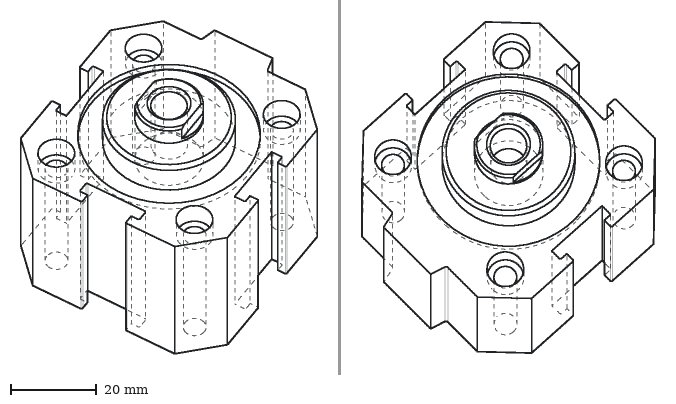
import cadquery as cq
import math

BODY_WIDTH = 57.0
HALF_WIDTH = BODY_WIDTH / 2
BODY_HEIGHT = 38.5
CORNER_CHAMFER = 8.9

RAIL_HEIGHT = 4.0
RAIL_TOP_WIDTH = 16.0
RAIL_TAPER = 15
RAIL_ROOT_RADIUS = 0.55

SLOT_MOUTH_WIDTH = 12.0
SLOT_CORNER_RADIUS = 0.35
SLOT_LIP_RADIUS = 0.3
FRONT_SLOT_WIDTH = 16.4
FRONT_SLOT_LIP = 2.5
FRONT_SLOT_DEPTH = 5.5
SIDE_SLOT_WIDTH = 16.15
SIDE_SLOT_LIP = 2.4
SIDE_SLOT_DEPTH = 5.3

MOUNT_SPACING = 38.05
MOUNT_HOLE_DIAMETER = 5.3
MOUNT_BORE_DIAMETER = 8.55
MOUNT_BORE_DEPTH = 5.6

RECESS_DIAMETER = 42.5
RECESS_DEPTH = 2.0
COLLAR_DIAMETER = 31.0
COLLAR_RISE = 6.0
COLLAR_CHAMFER = 1.0

ROD_DIAMETER = 16.0
ROD_RISE = 5.0
ROD_CHAMFER = 0.6
FLAT_WIDTH = 13.0
FLAT_START = 1.0
ROD_HOLE_DIAMETER = 8.5
ROD_HOLE_DEPTH = 15.0
ROD_HOLE_CHAMFER = 0.85
ROD_END_WALL = 5.0

RAIL_HALF_TOP = RAIL_TOP_WIDTH / 2
RAIL_HALF_BASE = RAIL_HALF_TOP + RAIL_HEIGHT * math.tan(math.radians(RAIL_TAPER))
RECESS_FLOOR = BODY_HEIGHT - RECESS_DEPTH
COLLAR_TOP = BODY_HEIGHT + COLLAR_RISE
ROD_TOP = COLLAR_TOP + ROD_RISE
ROD_BOTTOM = ROD_TOP - ROD_HOLE_DEPTH - ROD_END_WALL


def cylinder(diameter, bottom, top):
    """Upright cylinder on the bore axis."""
    return cq.Workplane("XY").workplane(offset=bottom).circle(diameter / 2).extrude(top - bottom)


def t_slot(width, lip, depth, rounded_edges):
    """Cutter for a T-slot in the -Y side; the selected edges of its wide part are rounded."""
    mouth = cq.Workplane("XY").box(SLOT_MOUTH_WIDTH, depth, BODY_HEIGHT, centered=(True, False, False))
    wide = cq.Workplane("XY").box(width, depth - lip, BODY_HEIGHT, centered=(True, False, False))
    wide = wide.edges(rounded_edges).fillet(SLOT_CORNER_RADIUS).translate((0, lip, 0))
    return mouth.union(wide).translate((0, -HALF_WIDTH, 0))


def rail():
    """Tapered rail on the +Y side, reaching inward to the bore axis."""
    crest = HALF_WIDTH + RAIL_HEIGHT
    return (
        cq.Workplane("XY")
        .polyline([
            (-RAIL_HALF_BASE, 0),
            (-RAIL_HALF_BASE, HALF_WIDTH),
            (-RAIL_HALF_TOP, crest),
            (RAIL_HALF_TOP, crest),
            (RAIL_HALF_BASE, HALF_WIDTH),
            (RAIL_HALF_BASE, 0),
        ])
        .close()
        .extrude(BODY_HEIGHT)
    )


def make_housing():
    """Slotted housing with its recess, collar, rod socket and mounting holes."""
    body = cq.Workplane("XY").box(BODY_WIDTH, BODY_WIDTH, BODY_HEIGHT, centered=(True, True, False))
    body = body.edges("|Z").chamfer(CORNER_CHAMFER).union(rail())

    middle = BODY_HEIGHT / 2
    for side in (-1, 1):
        root = cq.selectors.NearestToPointSelector((side * RAIL_HALF_BASE, HALF_WIDTH, middle))
        body = body.edges("|Z").edges(root).fillet(RAIL_ROOT_RADIUS)

    body = body.cut(t_slot(FRONT_SLOT_WIDTH, FRONT_SLOT_LIP, FRONT_SLOT_DEPTH, "|Z"))
    side_slot = t_slot(SIDE_SLOT_WIDTH, SIDE_SLOT_LIP, SIDE_SLOT_DEPTH, "|Z and <Y")
    for angle in (-90, 90):
        body = body.cut(side_slot.rotate((0, 0, 0), (0, 0, 1), angle))

    half_mouth = SLOT_MOUTH_WIDTH / 2
    lip_corners = [(x, -HALF_WIDTH) for x in (-half_mouth, half_mouth)]
    lip_corners += [(x, y) for x in (-HALF_WIDTH, HALF_WIDTH) for y in (-half_mouth, half_mouth)]
    for x, y in lip_corners:
        corner = cq.selectors.NearestToPointSelector((x, y, middle))
        body = body.edges("|Z").edges(corner).fillet(SLOT_LIP_RADIUS)

    body = (
        body.faces(">Z").workplane(origin=(0, 0, BODY_HEIGHT))
        .rect(MOUNT_SPACING, MOUNT_SPACING, forConstruction=True)
        .vertices()
        .cboreHole(MOUNT_HOLE_DIAMETER, MOUNT_BORE_DIAMETER, MOUNT_BORE_DEPTH)
    )

    body = body.cut(cylinder(RECESS_DIAMETER, RECESS_FLOOR, BODY_HEIGHT))
    collar = cylinder(COLLAR_DIAMETER, RECESS_FLOOR, COLLAR_TOP).faces(">Z").chamfer(COLLAR_CHAMFER)
    return body.union(collar).cut(cylinder(ROD_DIAMETER, ROD_BOTTOM, COLLAR_TOP))


def make_rod():
    """Round rod filling the housing socket, with two flats and a chamfered end hole."""
    rod = cylinder(ROD_DIAMETER, ROD_BOTTOM, ROD_TOP).faces(">Z").chamfer(ROD_CHAMFER)

    flat_bottom = COLLAR_TOP + FLAT_START
    flat_height = ROD_TOP - flat_bottom
    flatted = cq.Workplane("XY").box(FLAT_WIDTH, ROD_DIAMETER, flat_height, centered=(True, True, False))
    trim = cylinder(ROD_DIAMETER, flat_bottom, ROD_TOP).cut(flatted.translate((0, 0, flat_bottom)))
    rod = rod.cut(trim)

    end_hole = cylinder(ROD_HOLE_DIAMETER, ROD_TOP - ROD_HOLE_DEPTH, ROD_TOP)
    rod = rod.cut(end_hole)
    hole_rim = cq.selectors.RadiusNthSelector(0)
    return rod.faces(">Z").edges("%CIRCLE").edges(hole_rim).chamfer(ROD_HOLE_CHAMFER)


housing = make_housing()
rod = make_rod()
result = cq.Compound.makeCompound([housing.val(), rod.val()])